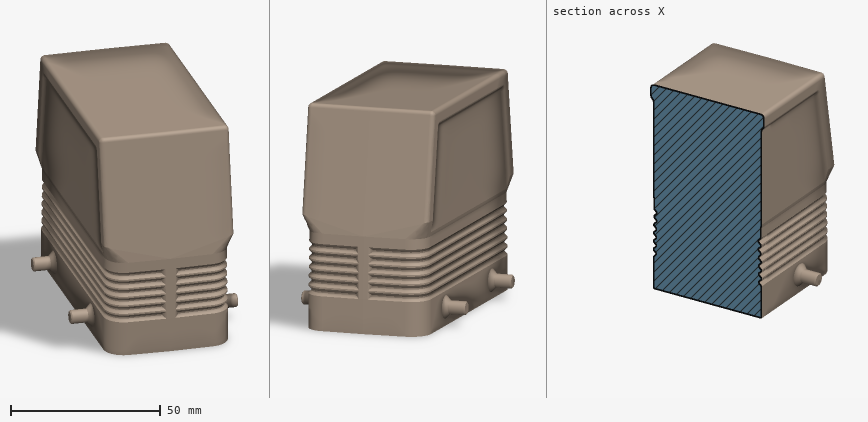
import cadquery as cq
import math

TOTAL_HEIGHT = 76.0
BASE_HALF_LENGTH = 46.75
BASE_HALF_WIDTH = 21.5
BASE_HEIGHT = 11.9
BASE_CORNER_RADIUS = 7.0
BASE_CROWN_SLOPE = 0.025

BAND_TOP = 33.3
BAND_DRAFT = 0.35
GROOVE_COUNT = 6
GROOVE_PITCH = 3.06
GROOVE_WIDTH = 2.5
GROOVE_FLANK = 1.0
GROOVE_DEPTH = 1.0
STRIP_HALF_WIDTH = 1.5
STRIP_FLANK = 1.15
STRIP_ROOT_DEPTH = 2.0

SKIRT_TOP = 39.2
SHELL_HALF_WIDTH = 22.5
SHELL_TOP_HALF_LENGTH = 39.0
SHELL_CROWN_SLOPE = 0.012
SHELL_EDGE_RADIUS = 1.5

PANEL_TOP = 71.6
PANEL_END_MARGIN = 5.0
PANEL_DEPTH = 1.0
PANEL_WALL_SETBACK = 1.05
PANEL_CORNER_RADIUS = 1.5
PANEL_EDGE_RADIUS = 1.0

PIN_X = 24.0
PIN_Z = 6.4
PIN_END_Y = 29.0
PIN_RADIUS = 2.35
PIN_CHAMFER = 0.4
PIN_COLLAR_RADIUS = 4.0
PIN_COLLAR_LENGTH = PIN_COLLAR_RADIUS - PIN_RADIUS

BAND_HALF_LENGTH = BASE_HALF_LENGTH - BAND_DRAFT
SHELL_END_SLOPE = (BAND_HALF_LENGTH - SHELL_TOP_HALF_LENGTH) / (TOTAL_HEIGHT - BAND_TOP)
OVERLAP = 1.0


def shell_half_length(z):
    """Half length of the upper shell at its crown, at height z."""
    return SHELL_TOP_HALF_LENGTH + SHELL_END_SLOPE * (TOTAL_HEIGHT - z)


def band_inset(z):
    """Inward draft of the grip band at height z."""
    return BAND_DRAFT * (z - BASE_HEIGHT) / (BAND_TOP - BASE_HEIGHT)


def crowned_outline(half_length, half_width, slope, z, radius=0.0):
    """Closed plan outline whose ends come to a shallow crown at Y = 0."""
    corner_x = half_length - slope * half_width
    corners = [
        (half_length, 0),
        (corner_x, half_width),
        (-corner_x, half_width),
        (-half_length, 0),
        (-corner_x, -half_width),
        (corner_x, -half_width),
    ]
    wire = cq.Wire.makePolygon([cq.Vector(x, y, z) for x, y in corners], close=True)
    if radius == 0:
        return wire
    box_corners = [v for v in wire.Vertices() if abs(v.Y) > half_width / 2]
    return wire.fillet2D(radius, box_corners)


def base_outline(z, inset):
    """Base outline drawn in evenly by the given inset."""
    return crowned_outline(
        BASE_HALF_LENGTH - inset,
        BASE_HALF_WIDTH - inset,
        BASE_CROWN_SLOPE,
        z,
        BASE_CORNER_RADIUS - inset,
    )


def ruled_solid(outlines):
    return cq.Workplane(cq.Solid.makeLoft(outlines, True))


def make_base():
    return ruled_solid([base_outline(0, 0), base_outline(BASE_HEIGHT, 0)])


def make_plain_band():
    return ruled_solid([base_outline(BASE_HEIGHT, 0), base_outline(BAND_TOP, BAND_DRAFT)])


def make_grooved_band():
    outlines = []
    for index in range(GROOVE_COUNT):
        bottom = BASE_HEIGHT + index * GROOVE_PITCH
        top = bottom + GROOVE_WIDTH
        for z, depth in (
            (bottom, 0),
            (bottom + GROOVE_FLANK, GROOVE_DEPTH),
            (top - GROOVE_FLANK, GROOVE_DEPTH),
            (top, 0),
        ):
            outlines.append(base_outline(z, band_inset(z) + depth))
    outlines.append(base_outline(BAND_TOP, BAND_DRAFT))
    return ruled_solid(outlines)


def make_strips():
    """Plain strips on both ends; their flanks slope down to the groove floors."""
    outer_x = BASE_HALF_LENGTH
    inner_half_width = STRIP_HALF_WIDTH + STRIP_FLANK * STRIP_ROOT_DEPTH / GROOVE_DEPTH
    strip = (
        cq.Workplane("XY")
        .workplane(offset=BASE_HEIGHT)
        .polyline([
            (outer_x, STRIP_HALF_WIDTH),
            (outer_x - STRIP_ROOT_DEPTH, inner_half_width),
            (outer_x - STRIP_ROOT_DEPTH, -inner_half_width),
            (outer_x, -STRIP_HALF_WIDTH),
        ])
        .close()
        .extrude(BAND_TOP - BASE_HEIGHT)
    )
    return strip.union(strip.mirror("YZ")).intersect(make_plain_band())


def shell_outline(z):
    return crowned_outline(shell_half_length(z), SHELL_HALF_WIDTH, SHELL_CROWN_SLOPE, z)


def make_shell():
    """Tapered upper shell with rounded upright and top edges, still full width at the skirt."""
    shell = ruled_solid([shell_outline(BAND_TOP), shell_outline(TOTAL_HEIGHT)])
    upright_edges = [e for e in shell.edges("not #Z").vals() if abs(e.Center().y) > SHELL_HALF_WIDTH / 2]
    top_edges = shell.faces(">Z").edges().vals()
    return shell.newObject(upright_edges + top_edges).fillet(SHELL_EDGE_RADIUS)


def make_skirt_envelope():
    """Flare from the rounded band outline to the sharper shell, then a block clearing the shell."""
    shell_corner_x = shell_half_length(SKIRT_TOP) - SHELL_CROWN_SLOPE * SHELL_HALF_WIDTH
    flare_half_length = shell_corner_x + BASE_CROWN_SLOPE * SHELL_HALF_WIDTH
    flare = ruled_solid([
        base_outline(BAND_TOP, BAND_DRAFT),
        crowned_outline(
            flare_half_length, SHELL_HALF_WIDTH, BASE_CROWN_SLOPE, SKIRT_TOP, SHELL_EDGE_RADIUS
        ),
    ])
    clearance = cq.Workplane("XY").workplane(offset=SKIRT_TOP).rect(
        2 * BASE_HALF_LENGTH + OVERLAP, 2 * SHELL_HALF_WIDTH + OVERLAP
    ).extrude(TOTAL_HEIGHT - SKIRT_TOP)
    return flare.union(clearance)


def panel_outline(y, setback):
    """Panel trapezoid, parallel to the shell ends and open towards the skirt."""
    top = PANEL_TOP - setback
    top_x = shell_half_length(top) - PANEL_END_MARGIN - setback
    bottom_x = shell_half_length(BAND_TOP) - PANEL_END_MARGIN - setback
    corners = [(bottom_x, BAND_TOP), (top_x, top), (-top_x, top), (-bottom_x, BAND_TOP)]
    wire = cq.Wire.makePolygon([cq.Vector(x, y, z) for x, z in corners], close=True)
    top_corners = [v for v in wire.Vertices() if v.Z > SKIRT_TOP]
    return wire.fillet2D(PANEL_CORNER_RADIUS, top_corners)


def make_panel_recess():
    """Recess of the -Y side with sloping walls and a rounded foot."""
    edge_setback = PANEL_EDGE_RADIUS * math.tan(math.atan2(PANEL_DEPTH, PANEL_WALL_SETBACK) / 2)
    recess = ruled_solid([
        panel_outline(-SHELL_HALF_WIDTH, edge_setback),
        panel_outline(-SHELL_HALF_WIDTH + PANEL_DEPTH, edge_setback + PANEL_WALL_SETBACK),
    ])
    return recess.faces(">Y").edges("not <Z").fillet(PANEL_EDGE_RADIUS)


def make_pin():
    """Pin of the -Y side, on a conical collar."""
    wall_y = BASE_HALF_WIDTH
    collar_y = wall_y + PIN_COLLAR_LENGTH
    root_y = wall_y - OVERLAP
    half_profile = [
        (0, -root_y),
        (PIN_COLLAR_RADIUS, -root_y),
        (PIN_COLLAR_RADIUS, -wall_y),
        (PIN_RADIUS, -collar_y),
        (PIN_RADIUS, -PIN_END_Y + PIN_CHAMFER),
        (PIN_RADIUS - PIN_CHAMFER, -PIN_END_Y),
        (0, -PIN_END_Y),
    ]
    pin = cq.Workplane("XY").polyline(half_profile).close().revolve(360, (0, 0), (0, 1))
    return pin.translate((0, 0, PIN_Z))


def is_panel_rim(edge):
    """True for edges of a side face that lie inside its outer border."""
    center = edge.Center()
    border_x = shell_half_length(center.z) - PANEL_END_MARGIN / 2
    return BAND_TOP + OVERLAP < center.z < PANEL_TOP and abs(center.x) < border_x


def add_panel(shell, recess, side_face):
    """Cut one panel recess into a long side of the shell and round its rim."""
    shell = shell.cut(recess)
    rim = [edge for edge in shell.faces(side_face).edges().vals() if is_panel_rim(edge)]
    return shell.newObject(rim).fillet(PANEL_EDGE_RADIUS)


def make_shell_and_skirt():
    recess = make_panel_recess()
    shell = add_panel(make_shell(), recess, "<Y")
    shell = add_panel(shell, recess.mirror("XZ"), ">Y")
    return shell.intersect(make_skirt_envelope())


result = make_base().union(make_grooved_band()).union(make_strips()).union(make_shell_and_skirt())
for pin_x in (-PIN_X, PIN_X):
    pin = make_pin().translate((pin_x, 0, 0))
    result = result.union(pin).union(pin.mirror("XZ"))